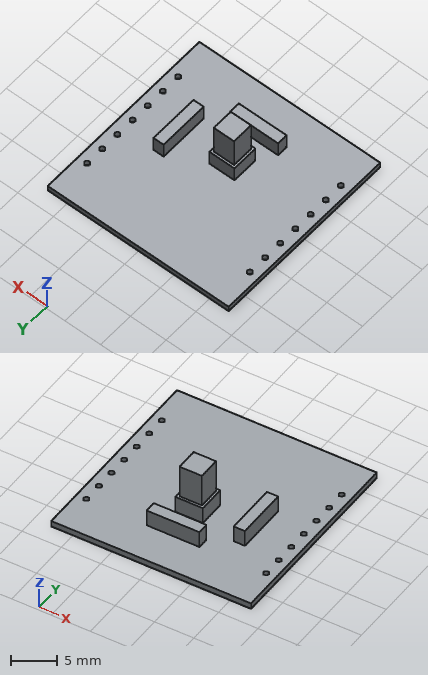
import cadquery as cq

board_side = 25.4
board_thickness = 0.8
total_height = 7.1

hole_diameter = 0.65
hole_pitch = 2.55
holes_per_row = 7
row_spacing = 22.85

block_height = 2.1
base_side = 3.5
post_side = 2.85
post_x = -0.45
post_y = -2.55

bar_length = 6.7
bar_width = 1.42
front_bar_x = -0.28
front_bar_y = -7.1
side_bar_x = 6.4
side_bar_y = -1.7


def block(length_x, length_y, height, x, y, bottom):
    """Upright block centred at (x, y) and standing on the level 'bottom'."""
    return cq.Workplane("XY").box(
        length_x, length_y, height, centered=(True, True, False)
    ).translate((x, y, bottom))


board = block(board_side, board_side, board_thickness, 0, 0, 0)
board = (
    board.faces(">Z").workplane(origin=(0, 0, 0))
    .rarray(row_spacing, hole_pitch, 2, holes_per_row)
    .hole(hole_diameter)
)

block_top = board_thickness + block_height
post_height = total_height - block_top
base = block(base_side, base_side, block_height, post_x, post_y, board_thickness)
post = block(post_side, post_side, post_height, post_x, post_y, block_top)

front_bar = block(bar_length, bar_width, block_height, front_bar_x, front_bar_y, board_thickness)
side_bar = block(bar_width, bar_length, block_height, side_bar_x, side_bar_y, board_thickness)

result = board.union(base).union(post).union(front_bar).union(side_bar)